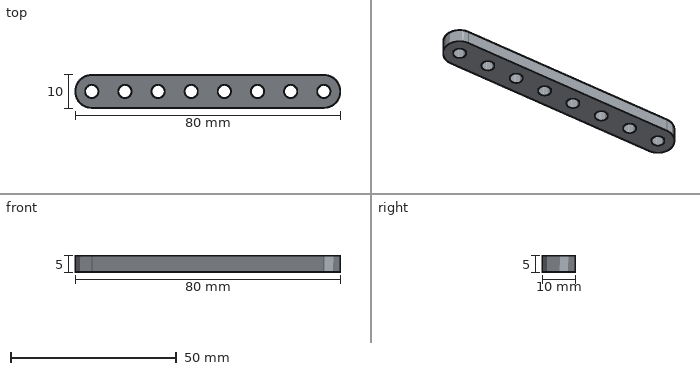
import cadquery as cq

length = 80.0
hole_count = 8
thickness = 5.0
hole_diameter = 3.9

pitch = length / hole_count
width = pitch

bar = cq.Workplane("XY").slot2D(length, width).extrude(thickness)

result = (
    bar.faces(">Z")
    .workplane(origin=(0, 0, thickness))
    .rarray(pitch, 0.8, hole_count, 1)
    .hole(hole_diameter)
)